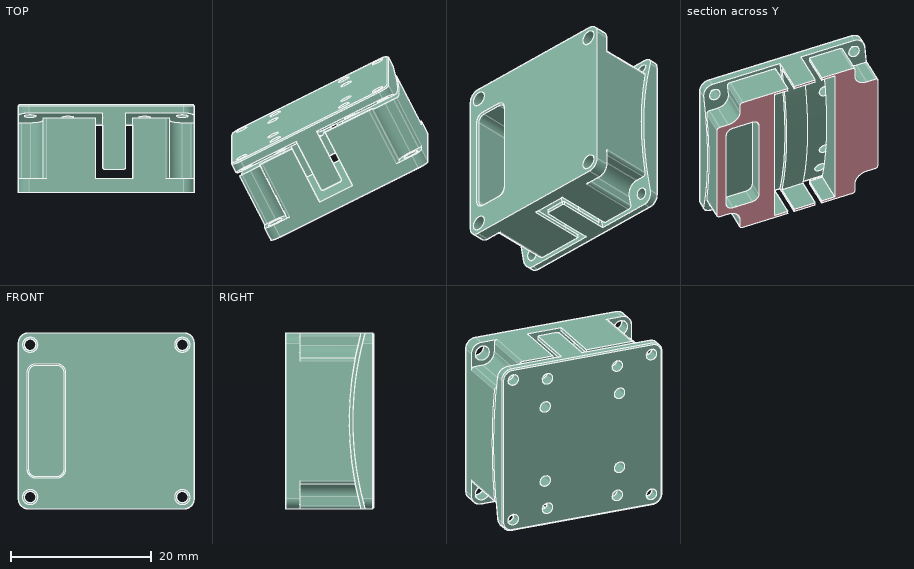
import cadquery as cq
WIDTH = 25.0
DEPTH = 12.5
HEIGHT = 25.02
HALF_WIDTH = WIDTH / 2
HALF_HEIGHT = HEIGHT / 2
FRONT_Y = -DEPTH / 2
BACK_Y = DEPTH / 2

CORNER_RADIUS = 1.5
SCREW_INSET = 1.7
SCREW_X = HALF_WIDTH - SCREW_INSET
SCREW_Z = HALF_HEIGHT - SCREW_INSET

FLANGE_THICKNESS = 2.0
FLANGE_BACK_Y = FRONT_Y + FLANGE_THICKNESS
FLANGE_HOLE_DIAMETER = 2.15
NOTCH_SIZE = 3.55
NOTCH_RADIUS = 1.78
NOTCH_EDGE_RADIUS = 0.45
WALL = 0.5

COVER_EDGE_THICKNESS = 1.23
COVER_MIDDLE_THICKNESS = 2.98
COVER_EDGE_Y = BACK_Y - COVER_EDGE_THICKNESS
COVER_MIDDLE_Y = BACK_Y - COVER_MIDDLE_THICKNESS
COVER_CHAMFER = 0.2
COVER_HOLE_DIAMETER = 1.6
OUTER_HOLE_X = 5.45
OUTER_HOLE_Z = 10.0
INNER_HOLE_X = 5.8
INNER_HOLE_Z = 5.73

CLIP_X = 1.13
CLIP_WIDTH = 3.25
CLIP_REACH = 9.25
CLIP_TIP_CHAMFER = 0.2
BAND_HEIGHT = 0.6

SLOT_CLEARANCE = 1.0
SLOT_WIDTH = CLIP_WIDTH + 2 * SLOT_CLEARANCE
CAVITY_WIDTH = 9.25

END_GAP = 0.5
END_BOW_HALF_HEIGHT = HALF_HEIGHT - NOTCH_EDGE_RADIUS
END_EDGE_Y = BACK_Y - 1.9
END_MIDDLE_Y = COVER_MIDDLE_Y - END_GAP

POCKET_X = -8.5
POCKET_WIDTH = 5.0
POCKET_HEIGHT = 15.76
POCKET_BACK_Y = END_MIDDLE_Y - WALL
POCKET_RADIUS = 1.0
POCKET_CHAMFER = 0.23
CHAMFER_ANGLE = 45

OVERRUN = 0.25


def box(x_center, width, y_front, y_back, height):
    """A block centred on z = 0."""
    return (
        cq.Workplane("XY")
        .box(width, y_back - y_front, height)
        .translate((x_center, (y_front + y_back) / 2, 0))
    )


def rounded_box(x_center, width, y_front, y_back, height, radius):
    """A block whose four edges along Y are rounded."""
    return box(x_center, width, y_front, y_back, height).edges("|Y").fillet(radius)


def four_points(x, z):
    """The point (x, z) and its mirror images about both axes."""
    return [(i * x, j * z) for i in (-1, 1) for j in (-1, 1)]


def bores(points, diameter):
    """Cylinders along Y through the whole depth."""
    return (
        cq.Workplane("XZ", origin=(0, BACK_Y, 0))
        .pushPoints(points)
        .circle(diameter / 2)
        .extrude(DEPTH)
    )


def bowed_region(x_center, width, half_height, edge_y, middle_y):
    """The space from the back plane to a face that bows forward at mid height."""
    return (
        cq.Workplane("YZ", origin=(x_center - width / 2, 0, 0))
        .moveTo(BACK_Y, -half_height)
        .lineTo(edge_y, -half_height)
        .threePointArc((middle_y, 0), (edge_y, half_height))
        .lineTo(BACK_Y, half_height)
        .close()
        .extrude(width)
    )


def make_flange():
    flange = rounded_box(0, WIDTH, FRONT_Y, FLANGE_BACK_Y, HEIGHT, CORNER_RADIUS)
    return flange.cut(bores(four_points(SCREW_X, SCREW_Z), FLANGE_HOLE_DIAMETER))


def make_body_block():
    """Block behind the flange, notched at its four corners around the screws."""
    block = box(0, WIDTH, FLANGE_BACK_Y, END_EDGE_Y, HEIGHT)
    notches = (
        cq.Workplane("XZ", origin=(0, BACK_Y, 0))
        .pushPoints(four_points(HALF_WIDTH, HALF_HEIGHT))
        .rect(2 * NOTCH_SIZE, 2 * NOTCH_SIZE)
        .extrude(DEPTH)
        .edges("|Y")
        .fillet(NOTCH_RADIUS)
    )
    outer_edges = "(>X or <X or >Z or <Z) and |Y"
    return block.cut(notches).edges(outer_edges).fillet(NOTCH_EDGE_RADIUS)


def make_pocket():
    """Blind pocket with a chamfered mouth."""
    pocket = rounded_box(
        POCKET_X, POCKET_WIDTH, FRONT_Y, POCKET_BACK_Y, POCKET_HEIGHT, POCKET_RADIUS
    )
    mouth = (
        pocket.faces("<Y")
        .wires()
        .toPending()
        .offset2D(POCKET_CHAMFER)
        .extrude(-POCKET_CHAMFER, combine=False, taper=CHAMFER_ANGLE)
    )
    return pocket.union(mouth)


def make_housing():
    cavity = box(CLIP_X, CAVITY_WIDTH, FLANGE_BACK_Y, BACK_Y, HEIGHT - 2 * WALL)
    slots = box(CLIP_X, SLOT_WIDTH, FLANGE_BACK_Y, BACK_Y, HEIGHT + 2 * OVERRUN)
    end_bow = bowed_region(0, WIDTH, END_BOW_HALF_HEIGHT, END_EDGE_Y, END_MIDDLE_Y)
    solid = make_flange().union(make_body_block())
    return solid.cut(cavity).cut(slots).cut(end_bow).cut(make_pocket())


def make_clip():
    """Raised band across the bowed face, with a thin finger at the top and the bottom."""
    tip_y = BACK_Y - CLIP_REACH
    band = bowed_region(
        CLIP_X, CLIP_WIDTH, HALF_HEIGHT, COVER_EDGE_Y - BAND_HEIGHT, COVER_MIDDLE_Y - BAND_HEIGHT
    )
    fingers = (
        box(CLIP_X, CLIP_WIDTH, tip_y, BACK_Y, HEIGHT)
        .edges("<Y and |Z")
        .chamfer(CLIP_TIP_CHAMFER)
        .cut(box(CLIP_X, CLIP_WIDTH, tip_y, BACK_Y, HEIGHT - 2 * WALL))
    )
    within_cover = box(CLIP_X, CLIP_WIDTH, FRONT_Y, BACK_Y - COVER_CHAMFER, HEIGHT)
    return band.union(fingers).intersect(within_cover)


def make_cover():
    plate = (
        rounded_box(0, WIDTH, FRONT_Y, BACK_Y, HEIGHT, CORNER_RADIUS)
        .faces(">Y")
        .chamfer(COVER_CHAMFER)
        .intersect(bowed_region(0, WIDTH, HALF_HEIGHT, COVER_EDGE_Y, COVER_MIDDLE_Y))
    )
    hole_points = (
        four_points(SCREW_X, SCREW_Z)
        + four_points(OUTER_HOLE_X, OUTER_HOLE_Z)
        + four_points(INNER_HOLE_X, INNER_HOLE_Z)
    )
    return plate.cut(bores(hole_points, COVER_HOLE_DIAMETER)).union(make_clip())


housing = make_housing()
cover = make_cover()

result = cq.Compound.makeCompound([housing.val(), cover.val()])